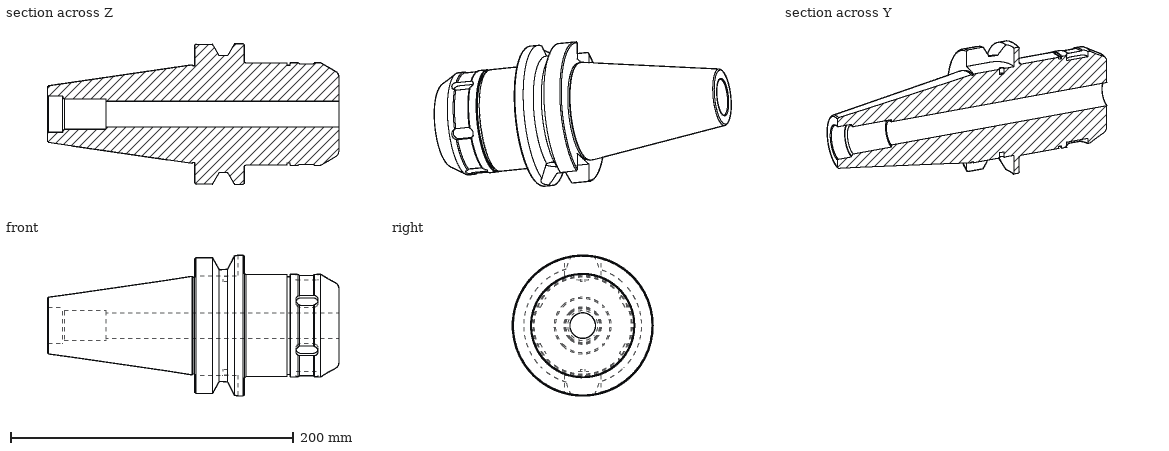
import cadquery as cq
import math

TOTAL_LENGTH = 206.8

GAUGE_X = 101.7
GAUGE_RADIUS = 70.0 / 2
TAPER_SLOPE = 7 / 48
SHANK_CHAMFER = 0.8
GAUGE_LAND_END_X = 102.5
NECK_START_X = 103.2
NECK_RADIUS = 68.9 / 2

FLANGE_START_X = 104.5
FLANGE_END_X = 139.5
FLANGE_RADIUS = 100.0 / 2
REAR_FLANGE_RADIUS = 99.7 / 2
FLANGE_CHAMFER = 0.8
GROOVE_FLOOR_RADIUS = 41.8
GROOVE_FLOOR_START_X = 121.8
GROOVE_FLOOR_END_X = 127.8
GROOVE_FLANK_ANGLE = 30.0

HUB_RADIUS = 37.0
HUB_END_X = 140.8
BODY_RADIUS = 72.5 / 2
RELIEF_START_X = 170.0
RELIEF_RADIUS = 69.5 / 2
NUT_START_X = 171.9
NUT_RADIUS = 73.0 / 2
NUT_CHAMFER = 0.5
BAND_RADIUS = 71.8 / 2
BAND_START_X = 177.8
BAND_END_X = 189.5
BAND_SHOULDER = 0.8
NOSE_START_X = 193.8
NOSE_ANGLE = 30.0
NOSE_FILLET = 5.0

MOUTH_RADIUS = 25.5 / 2
MOUTH_CHAMFER = 0.6
MOUTH_DEPTH = 10.8
LEAD_IN_RADIUS = 24.0 / 2
MIDDLE_RADIUS = 21.3 / 2
MIDDLE_DEPTH = 41.4
THROUGH_RADIUS = 18.0 / 2

KEYWAY_COUNT = 2
KEYWAY_WIDTH = 25.6
KEYWAY_END_X = 135.2
KEYWAY_FLOOR = 70.5 / 2
KEYWAY_HOLE_X = 126.1
KEYWAY_HOLE_RADIUS = 3.3 / 2
KEYWAY_HOLE_MOUTH_RADIUS = 4.0 / 2
KEYWAY_HOLE_DEPTH = 4.1

SPANNER_SLOT_COUNT = 6
SPANNER_SLOT_LENGTH = 16.0
SPANNER_SLOT_WIDTH = 8.0
SPANNER_SLOT_X = 184.0
SPANNER_SLOT_FLOOR = 32.5


def turned_body():
    """Solid of revolution of the whole outer contour."""
    shank_end_radius = GAUGE_RADIUS - GAUGE_X * TAPER_SLOPE
    flank_slope = math.tan(math.radians(GROOVE_FLANK_ANGLE))
    rear_flank_length = (REAR_FLANGE_RADIUS - GROOVE_FLOOR_RADIUS) * flank_slope
    front_flank_length = (FLANGE_RADIUS - GROOVE_FLOOR_RADIUS) * flank_slope
    nose_drop = (TOTAL_LENGTH - NOSE_START_X) * math.tan(math.radians(NOSE_ANGLE))
    contour = [
        (0, 0),
        (0, shank_end_radius - SHANK_CHAMFER),
        (SHANK_CHAMFER, shank_end_radius + SHANK_CHAMFER * TAPER_SLOPE),
        (GAUGE_X, GAUGE_RADIUS),
        (GAUGE_LAND_END_X, GAUGE_RADIUS),
        (NECK_START_X, NECK_RADIUS),
        (FLANGE_START_X, NECK_RADIUS),
        (FLANGE_START_X, REAR_FLANGE_RADIUS - FLANGE_CHAMFER),
        (FLANGE_START_X + FLANGE_CHAMFER, REAR_FLANGE_RADIUS),
        (GROOVE_FLOOR_START_X - rear_flank_length, REAR_FLANGE_RADIUS),
        (GROOVE_FLOOR_START_X, GROOVE_FLOOR_RADIUS),
        (GROOVE_FLOOR_END_X, GROOVE_FLOOR_RADIUS),
        (GROOVE_FLOOR_END_X + front_flank_length, FLANGE_RADIUS),
        (FLANGE_END_X - FLANGE_CHAMFER, FLANGE_RADIUS),
        (FLANGE_END_X, FLANGE_RADIUS - FLANGE_CHAMFER),
        (FLANGE_END_X, HUB_RADIUS),
        (HUB_END_X, BODY_RADIUS),
        (RELIEF_START_X, BODY_RADIUS),
        (RELIEF_START_X, RELIEF_RADIUS),
        (NUT_START_X, RELIEF_RADIUS),
        (NUT_START_X, NUT_RADIUS - NUT_CHAMFER),
        (NUT_START_X + NUT_CHAMFER, NUT_RADIUS),
        (BAND_START_X, NUT_RADIUS),
        (BAND_START_X + BAND_SHOULDER, BAND_RADIUS),
        (BAND_END_X - BAND_SHOULDER, BAND_RADIUS),
        (BAND_END_X, NUT_RADIUS),
        (NOSE_START_X, NUT_RADIUS),
        (TOTAL_LENGTH, NUT_RADIUS - nose_drop),
        (TOTAL_LENGTH, 0),
    ]
    body = cq.Workplane("XY").polyline(contour).close().revolve(360, (0, 0, 0), (1, 0, 0))
    return body.faces(">X").edges().fillet(NOSE_FILLET)


def stepped_bore():
    """Stepped hole along the axis: chamfered mouth, middle bore with a conical lead-in, through hole."""
    lead_in_length = LEAD_IN_RADIUS - MIDDLE_RADIUS
    contour = [
        (0, 0),
        (0, MOUTH_RADIUS + MOUTH_CHAMFER),
        (MOUTH_CHAMFER, MOUTH_RADIUS),
        (MOUTH_DEPTH, MOUTH_RADIUS),
        (MOUTH_DEPTH, LEAD_IN_RADIUS),
        (MOUTH_DEPTH + lead_in_length, MIDDLE_RADIUS),
        (MIDDLE_DEPTH, MIDDLE_RADIUS),
        (MIDDLE_DEPTH, THROUGH_RADIUS),
        (TOTAL_LENGTH, THROUGH_RADIUS),
        (TOTAL_LENGTH, 0),
    ]
    return cq.Workplane("XY").polyline(contour).close().revolve(360, (0, 0, 0), (1, 0, 0))


def keyway():
    """Top keyway: round-ended slot open toward the shank, plus the hole in its floor."""
    half_width = KEYWAY_WIDTH / 2
    round_center_x = KEYWAY_END_X - half_width
    slot = (
        cq.Workplane("XY", origin=(0, 0, KEYWAY_FLOOR))
        .moveTo(FLANGE_START_X, -half_width)
        .lineTo(round_center_x, -half_width)
        .threePointArc((KEYWAY_END_X, 0), (round_center_x, half_width))
        .lineTo(FLANGE_START_X, half_width)
        .close()
        .extrude(FLANGE_RADIUS - KEYWAY_FLOOR)
    )
    mouth_chamfer = KEYWAY_HOLE_MOUTH_RADIUS - KEYWAY_HOLE_RADIUS
    hole_floor = KEYWAY_FLOOR - KEYWAY_HOLE_DEPTH
    hole_contour = [
        (0, hole_floor),
        (KEYWAY_HOLE_RADIUS, hole_floor),
        (KEYWAY_HOLE_RADIUS, KEYWAY_FLOOR - mouth_chamfer),
        (KEYWAY_HOLE_MOUTH_RADIUS, KEYWAY_FLOOR),
        (0, KEYWAY_FLOOR),
    ]
    hole = (
        cq.Workplane("XZ", origin=(KEYWAY_HOLE_X, 0, 0))
        .polyline(hole_contour)
        .close()
        .revolve(360, (0, 0, 0), (0, 1, 0))
    )
    return slot.union(hole)


def spanner_slot():
    """Flat-bottomed obround pocket at the top of the nut."""
    return (
        cq.Workplane("XY", origin=(SPANNER_SLOT_X, 0, SPANNER_SLOT_FLOOR))
        .slot2D(SPANNER_SLOT_LENGTH, SPANNER_SLOT_WIDTH)
        .extrude(FLANGE_RADIUS - SPANNER_SLOT_FLOOR)
    )


def cut_around_axis(body, cutter, count):
    """Cut the same shape at equal angles about the X axis."""
    for index in range(count):
        angle = index * 360 / count
        body = body.cut(cutter.rotate((0, 0, 0), (1, 0, 0), angle))
    return body


result = turned_body().cut(stepped_bore())
result = cut_around_axis(result, keyway(), KEYWAY_COUNT)
result = cut_around_axis(result, spanner_slot(), SPANNER_SLOT_COUNT)